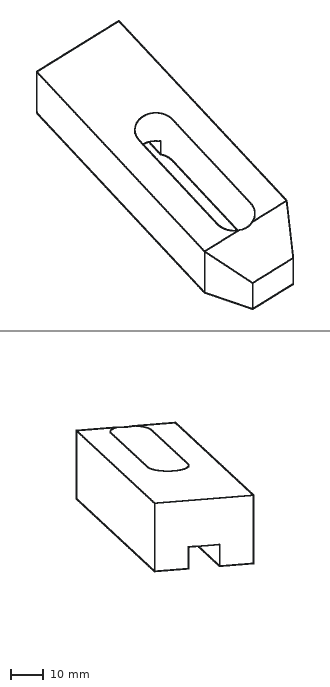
import cadquery as cq
import math

length = 100.0
width = 32.0
height = 22.0

nose_length = 14.0
nose_angle = math.radians(30)
nose_drop = nose_length * math.tan(nose_angle)
nose_start = length - nose_length

slot_start = 33.5
slot_length = 53.0
slot_width = 13.0
slot_center = slot_start + slot_length / 2

groove_width = 10.0
groove_depth = 7.0
groove_length = slot_center


def make_body():
    """Block whose nose narrows from both sides and slopes down from the top."""
    plan = (
        cq.Workplane("XY")
        .moveTo(0, -width / 2)
        .lineTo(nose_start, -width / 2)
        .lineTo(length, -width / 2 + nose_drop)
        .lineTo(length, width / 2 - nose_drop)
        .lineTo(nose_start, width / 2)
        .lineTo(0, width / 2)
        .close()
        .extrude(height)
    )
    top_wedge = (
        cq.Workplane("XZ")
        .moveTo(nose_start, height)
        .lineTo(length, height)
        .lineTo(length, height - nose_drop)
        .close()
        .extrude(width / 2, both=True)
    )
    return plan.cut(top_wedge)


def make_slot():
    return cq.Workplane("XY").center(slot_center, 0).slot2D(slot_length, slot_width).extrude(height)


def make_groove():
    return cq.Workplane("XY").box(groove_length, groove_width, groove_depth, centered=(False, True, False))


result = make_body().cut(make_slot()).cut(make_groove())